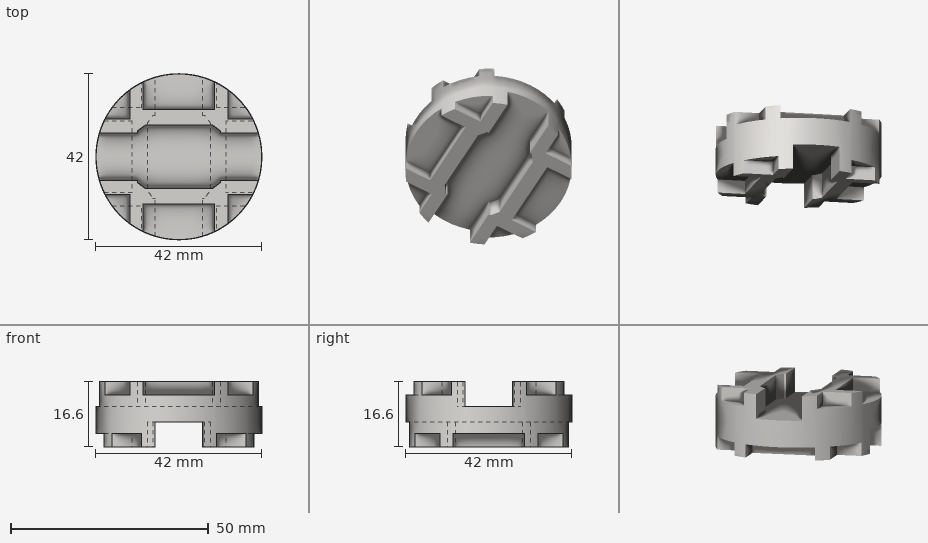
import cadquery as cq

diameter = 42.0
height = 16.6
radius = diameter / 2

slot_width = 12.0
slot_depth = 6.3
bay_width = 16.0
bay_length = 21.0
bay_chamfer_length = 2.0
bay_chamfer_width = 1.5

pocket_depth = 3.4
side_pocket_width = 18.1
side_pocket_offset = 11.9
corner_pocket_x = 12.4
corner_pocket_y = 9.5


def block(x_min, x_max, y_min, y_max, depth):
    """Box cut down from the upper face to the given depth."""
    size_x = x_max - x_min
    size_y = y_max - y_min
    box = cq.Workplane("XY").box(size_x, size_y, depth, centered=False)
    return box.translate((x_min, y_min, height / 2 - depth))


def slot_bay():
    """Wide middle of the slot, an octagon with unequal chamfer legs."""
    half_length = bay_length / 2
    half_width = bay_width / 2
    flat_x = half_length - bay_chamfer_length
    flat_y = half_width - bay_chamfer_width
    outline = [
        (half_length, -flat_y),
        (half_length, flat_y),
        (flat_x, half_width),
        (-flat_x, half_width),
        (-half_length, flat_y),
        (-half_length, -flat_y),
        (-flat_x, -half_width),
        (flat_x, -half_width),
    ]
    floor = cq.Workplane("XY").workplane(offset=height / 2 - slot_depth)
    return floor.polyline(outline).close().extrude(slot_depth)


def face_relief():
    """Everything removed from the upper face, slot running along X."""
    relief = block(-radius, radius, -slot_width / 2, slot_width / 2, slot_depth)
    relief = relief.union(slot_bay())

    half_pocket = side_pocket_width / 2
    side = block(-half_pocket, half_pocket, side_pocket_offset, radius, pocket_depth)
    corner = block(corner_pocket_x, radius, corner_pocket_y, radius, pocket_depth)
    pockets = side.union(corner).union(corner.mirror("YZ"))
    return relief.union(pockets).union(pockets.mirror("XZ"))


puck = cq.Workplane("XY").circle(radius).extrude(height).translate((0, 0, -height / 2))
upper_relief = face_relief()
lower_relief = upper_relief.mirror("XY").rotate((0, 0, 0), (0, 0, 1), 90)

result = puck.cut(upper_relief).cut(lower_relief)